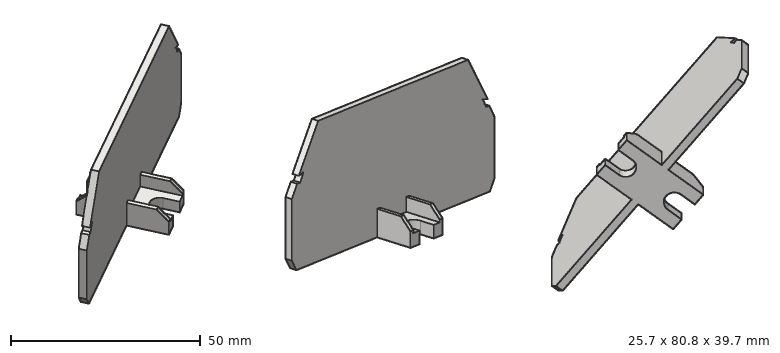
import cadquery as cq

plate_length = 80.8
plate_height = 39.7
plate_thickness = 2.3
bottom_corner_inset = 1.85
bottom_corner_height = 3.2
side_top_z = 20.6
shoulder_inset = 2.1
shoulder_z = 24.3
top_corner_inset = 10.5

notch_floor_inset = 3.3
notch_root_inset = 4.6
notch_root_z = 26.75
hook_tip_inset = 2.75
hook_tip_z = 26.35

foot_length = 25.7
foot_width = 12.85
foot_height = 8.1
floor_thickness = 3.9
wall_thickness = 1.2
wall_chamfer = 3.4
slot_width = 5.6
slot_depth = 7.4


def make_plate():
    half_length = plate_length / 2
    inset_and_height = [
        (bottom_corner_inset, 0),
        (0, bottom_corner_height),
        (0, side_top_z),
        (shoulder_inset, shoulder_z),
        (notch_floor_inset, shoulder_z),
        (notch_root_inset, notch_root_z),
        (hook_tip_inset, hook_tip_z),
        (top_corner_inset, plate_height),
    ]
    right_end = [(half_length - inset, z) for inset, z in inset_and_height]
    left_end = [(-y, z) for y, z in reversed(right_end)]
    outline = cq.Workplane("YZ").polyline(right_end + left_end).close()
    return outline.extrude(plate_thickness / 2, both=True)


def make_foot():
    foot = (
        cq.Workplane("XY")
        .box(foot_length, foot_width, foot_height, centered=(True, True, False))
        .edges("|Y and >Z")
        .chamfer(wall_chamfer)
    )
    channel = (
        cq.Workplane("XY")
        .workplane(offset=floor_thickness)
        .rect(foot_length, foot_width - 2 * wall_thickness)
        .extrude(foot_height - floor_thickness)
    )
    end_slots = (
        cq.Workplane("XY")
        .pushPoints([(-foot_length / 2, 0), (foot_length / 2, 0)])
        .slot2D(2 * slot_depth, slot_width)
        .extrude(floor_thickness)
    )
    return foot.cut(channel).cut(end_slots)


result = make_plate().union(make_foot())